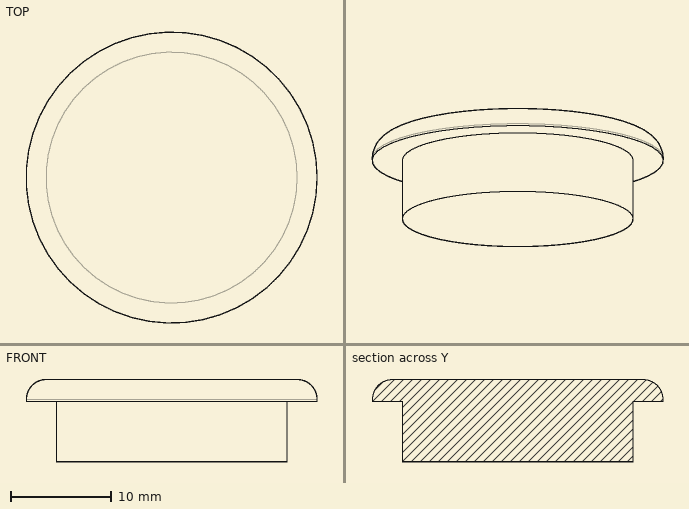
import cadquery as cq

cap_diameter = 29.0
plug_diameter = 23.0
total_height = 8.2
plug_height = 6.0
rim_radius = 2.0

cap_height = total_height - plug_height

plug = cq.Workplane("XY").circle(plug_diameter / 2).extrude(plug_height)

cap = (
    cq.Workplane("XY")
    .workplane(offset=plug_height)
    .circle(cap_diameter / 2)
    .extrude(cap_height)
    .faces(">Z")
    .edges()
    .fillet(rim_radius)
)

result = plug.union(cap)